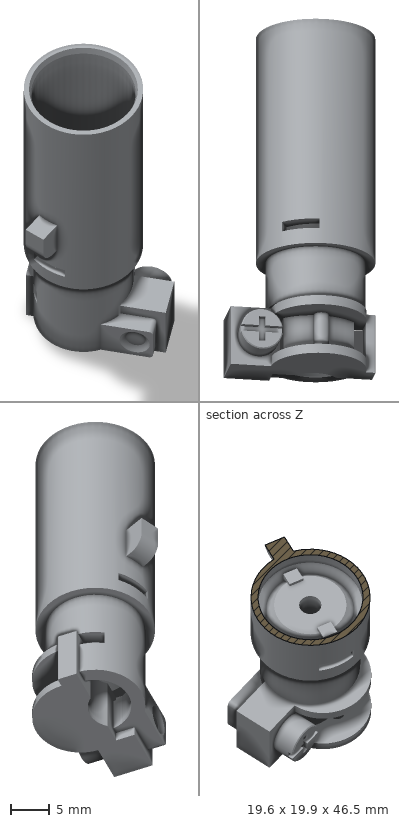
import cadquery as cq
import math


HEIGHT = 46.5
BARREL_RADIUS = 7.75
BARREL_BOTTOM = 15.45
BORE_RADIUS = 6.8
RIM_RADIUS = 7.05
RIM_DEPTH = 0.85

TUBE_RADIUS = 6.5
TUBE_BOTTOM = 1.4
TUBE_BORE_RADIUS = 4.7
TUBE_BORE_TOP = 18.6

FLOOR_WALL = 1.65
VALLEY_RADIUS = 5.7
PLATEAU_RADIUS = 4.7
WIRE_HOLE_RADIUS = 1.45
STOP_WIDTH = 2.0
STOP_INNER = 3.9
STOP_RISE = 0.45

KEY_WIDTH = 2.9
KEY_FRONT = -10.65
KEY_BOTTOM = 22.45
KEY_TOP = 27.35
KEY_ROUNDING = 2.1

GROOVE_WIDTH = 5.0
GROOVE_DEPTH = 1.95
GROOVE_BOTTOM = 17.55
GROOVE_TOP = 18.85

CLAMP_TURN = 25.0
CLAMP_HEIGHT = 8.0
PLATE_THICKNESS = 1.25
PLATE_RADIUS = 6.3
PLATE_BACK = 2.1
BAR_ROUNDING = 0.15
PLATE_FRONT = -0.55
BLOCK_LEFT = 5.6
BLOCK_RIGHT = 11.6
BLOCK_BACK = 2.3
BLOCK_FRONT = -3.15
CABLE_RADIUS = 3.6
CABLE_CENTRE = -2.85
CABLE_ROUNDING = 0.25
CORE_RADIUS = 6.98
CORE_HALF_WIDTH = 4.65
RIB_RADIUS = 0.98
RIB_CENTRE = 4.35

SLOT_BOTTOM = 6.45
SLOT_TOP = 8.45
SLOT_FRONT = -3.65

LUG_FRONT = -5.55
LUG_RIGHT = 10.35
LUG_ROUNDING = 0.55
DIMPLE_RADIUS = 2.0
DIMPLE_FLOOR_RADIUS = 1.3
DIMPLE_DEPTH = 0.6

SCREW_ACROSS = 7.95
SCREW_RADIUS = 2.75
SCREW_FACE = 5.35
SCREW_CHAMFER = 0.15
DRIVE_WIDTH = 0.9
DRIVE_DEPTH = 0.75
CROSS_SLOT_LENGTH = 3.35

VALLEY = GROOVE_TOP + FLOOR_WALL
PLATEAU = VALLEY + VALLEY_RADIUS - PLATEAU_RADIUS
FUNNEL_TOP = VALLEY + BORE_RADIUS - VALLEY_RADIUS
CLAMP_MIDDLE = CLAMP_HEIGHT / 2
GAP_BOTTOM = PLATE_THICKNESS
GAP_TOP = CLAMP_HEIGHT - PLATE_THICKNESS
CUT_SPAN = 3 * TUBE_RADIUS


def box(x0, x1, y0, y1, z0, z1):
    """Box given by its limits along each axis."""
    return cq.Workplane("XY").box(x1 - x0, y1 - y0, z1 - z0, centered=False).translate((x0, y0, z0))


def cylinder(radius, z0, z1):
    """Upright cylinder on the Z axis."""
    return cq.Workplane("XY").workplane(offset=z0).circle(radius).extrude(z1 - z0)


def turned(shape):
    """Turn a shape from the clamp frame into its place on the tube."""
    return shape.rotate((0, 0, 0), (0, 0, 1), CLAMP_TURN)


def make_shell():
    """Barrel and tube with both bores, revolved from half of their section."""
    section = [
        (WIRE_HOLE_RADIUS, TUBE_BORE_TOP),
        (TUBE_BORE_RADIUS, TUBE_BORE_TOP),
        (TUBE_BORE_RADIUS, TUBE_BOTTOM),
        (TUBE_RADIUS, TUBE_BOTTOM),
        (TUBE_RADIUS, BARREL_BOTTOM),
        (BARREL_RADIUS, BARREL_BOTTOM),
        (BARREL_RADIUS, HEIGHT),
        (RIM_RADIUS, HEIGHT),
        (BORE_RADIUS, HEIGHT - RIM_DEPTH),
        (BORE_RADIUS, FUNNEL_TOP),
        (VALLEY_RADIUS, VALLEY),
        (PLATEAU_RADIUS, PLATEAU),
        (WIRE_HOLE_RADIUS, PLATEAU),
    ]
    return cq.Workplane("XZ").polyline(section).close().revolve(360, (0, 0, 0), (0, 1, 0))


def make_stop(side):
    """Small block bridging the valley in the barrel floor; side is -1 or +1 along Y."""
    near, far = sorted((side * STOP_INNER, side * VALLEY_RADIUS))
    return box(-STOP_WIDTH / 2, STOP_WIDTH / 2, near, far, VALLEY, PLATEAU + STOP_RISE)


def make_key():
    """Key on the front of the barrel, rounded at its lower outer edge."""
    key = box(-KEY_WIDTH / 2, KEY_WIDTH / 2, KEY_FRONT, 0, KEY_BOTTOM, KEY_TOP)
    key = key.edges("|X and <Y and <Z").fillet(KEY_ROUNDING)
    return key.cut(cylinder((BORE_RADIUS + BARREL_RADIUS) / 2, 0, HEIGHT))


def make_grooves():
    """Short curved grooves on the front and back of the barrel."""
    ring = cylinder(BARREL_RADIUS + GROOVE_DEPTH, GROOVE_BOTTOM, GROOVE_TOP)
    ring = ring.cut(cylinder(BARREL_RADIUS - GROOVE_DEPTH, GROOVE_BOTTOM, GROOVE_TOP))
    half_width = GROOVE_WIDTH / 2
    return ring.intersect(box(-half_width, half_width, -CUT_SPAN, CUT_SPAN, GROOVE_BOTTOM, GROOVE_TOP))


def make_clamp_openings():
    """Slot for the upper plate, and the removed back half of the tube below it."""
    slot = box(-CUT_SPAN, CUT_SPAN, SLOT_FRONT, CUT_SPAN, SLOT_BOTTOM, SLOT_TOP)
    back_half = box(-CUT_SPAN, CUT_SPAN, 0, CUT_SPAN, 0, SLOT_TOP)
    return turned(slot.union(back_half))


def make_lug():
    """Ear of the tube that takes the screw, with a conical dimple in front."""
    lug = box(0, LUG_RIGHT, LUG_FRONT, BLOCK_FRONT, TUBE_BOTTOM, SLOT_BOTTOM)
    lug = lug.edges("|Y and >X").fillet(LUG_ROUNDING)
    lug = lug.cut(cylinder((TUBE_RADIUS + TUBE_BORE_RADIUS) / 2, 0, HEIGHT))
    dimple = cq.Workplane("XY").add(
        cq.Solid.makeCone(
            DIMPLE_RADIUS,
            DIMPLE_FLOOR_RADIUS,
            DIMPLE_DEPTH,
            cq.Vector(SCREW_ACROSS, LUG_FRONT, CLAMP_MIDDLE),
            cq.Vector(0, 1, 0),
        )
    )
    return lug.cut(dimple)


def make_clamp_core():
    """Arched block between the plates that presses the cable, with a round-nosed rib."""
    arch = cylinder(CORE_RADIUS, GAP_BOTTOM, GAP_TOP).translate((0, CABLE_CENTRE, 0))
    limits = box(-CORE_HALF_WIDTH, CORE_HALF_WIDTH, PLATE_FRONT, CUT_SPAN, GAP_BOTTOM, GAP_TOP)
    rib = box(-RIB_RADIUS, RIB_RADIUS, 0, RIB_CENTRE, GAP_BOTTOM, GAP_TOP)
    nose = cylinder(RIB_RADIUS, GAP_BOTTOM, GAP_TOP).translate((0, RIB_CENTRE, 0))
    return arch.intersect(limits).union(rib).union(nose)


def make_clamp():
    """Two plates joined by a side bar, a screw block and the core."""
    bar_left = -PLATE_RADIUS - PLATE_THICKNESS
    arc_end = math.sqrt(PLATE_RADIUS**2 - (BLOCK_BACK - PLATE_BACK) ** 2)
    outline = (
        cq.Workplane("XY")
        .moveTo(bar_left, PLATE_FRONT)
        .lineTo(BLOCK_LEFT, PLATE_FRONT)
        .lineTo(BLOCK_LEFT, BLOCK_FRONT)
        .lineTo(BLOCK_RIGHT, BLOCK_FRONT)
        .lineTo(BLOCK_RIGHT, BLOCK_BACK)
        .lineTo(arc_end, BLOCK_BACK)
        .threePointArc((0, PLATE_BACK + PLATE_RADIUS), (-PLATE_RADIUS, PLATE_BACK))
        .lineTo(bar_left, PLATE_BACK)
        .close()
    )
    body = outline.extrude(CLAMP_HEIGHT)
    bar_corner = (bar_left, PLATE_BACK, CLAMP_MIDDLE)
    body = body.edges(cq.NearestToPointSelector(bar_corner)).fillet(BAR_ROUNDING)

    gap = box(-PLATE_RADIUS, BLOCK_LEFT, -CUT_SPAN, CUT_SPAN, GAP_BOTTOM, GAP_TOP)
    behind_block = box(0, BLOCK_RIGHT, BLOCK_BACK, CUT_SPAN, GAP_BOTTOM, GAP_TOP)
    body = body.cut(gap.union(behind_block)).union(make_clamp_core())

    cable = cylinder(CABLE_RADIUS, 0, CLAMP_HEIGHT).translate((0, CABLE_CENTRE, 0))
    body = body.cut(cable)
    notch_half_width = math.sqrt(CABLE_RADIUS**2 - (PLATE_FRONT - CABLE_CENTRE) ** 2)
    for side in (-1, 1):
        corner = (side * notch_half_width, PLATE_FRONT, CLAMP_MIDDLE)
        body = body.edges(cq.NearestToPointSelector(corner)).fillet(CABLE_ROUNDING)
    return body


def make_screw_head():
    """Round head behind the screw block, with a full-width slot and a shorter cross slot."""
    head = (
        cq.Workplane("XZ", origin=(SCREW_ACROSS, SCREW_FACE, CLAMP_MIDDLE))
        .circle(SCREW_RADIUS)
        .extrude(SCREW_FACE - BLOCK_BACK)
        .faces(">Y")
        .chamfer(SCREW_CHAMFER)
    )
    drive_slot = cq.Workplane("XY").box(3 * SCREW_RADIUS, 2 * DRIVE_DEPTH, DRIVE_WIDTH)
    cross_slot = cq.Workplane("XY").box(DRIVE_WIDTH, 2 * DRIVE_DEPTH, CROSS_SLOT_LENGTH)
    slots = drive_slot.union(cross_slot)
    return head.cut(slots.translate((SCREW_ACROSS, SCREW_FACE, CLAMP_MIDDLE)))


shell = make_shell().cut(make_grooves()).cut(make_clamp_openings()).union(make_key())
for stop_side in (-1, 1):
    shell = shell.union(make_stop(stop_side))

clamp = make_clamp().union(make_lug()).union(make_screw_head())
result = shell.union(turned(clamp))